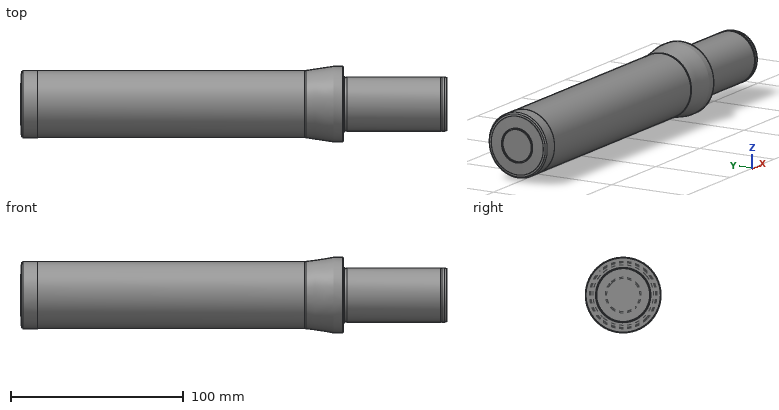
import cadquery as cq

total_length = 247.0
sleeve_length = 187.7

barrel_radius = 39.0 / 2
collar_radius = 44.0 / 2
flare_groove_start = 164.5
flare_groove_depth = 0.12
flare_start = 165.2
collar_start = 181.5
collar_end = 187.0
collar_chamfer = 0.5
lip_radius = 32.0 / 2

pad_radius = 9.6
pad_groove_radius = 10.4
pad_groove_depth = 0.5
face_step_radius = 17.5
face_cone_depth = 0.37
face_step_depth = 0.12
rim_radius = 18.8
rim_depth = 0.62
rim_chamfer_end = 1.5

band_end = 10.0
band_height = 0.07

rod_radius = 31.5 / 2
rod_chamfer_length = 1.5
rod_chamfer_height = 0.5
tip_groove_start = 243.3
tip_groove_width = 0.7
tip_groove_depth = 0.2


def revolve_about_x(outline):
    """Turn an open outline of (x, radius) points into a solid of revolution."""
    return outline.close().revolve(360, (0, 0, 0), (1, 0, 0))


def ring(start, width, inner_radius, outer_radius):
    """Ring around the X axis, used to cut grooves."""
    return (
        cq.Workplane("YZ", origin=(start, 0, 0))
        .circle(outer_radius)
        .circle(inner_radius)
        .extrude(width)
    )


def make_sleeve():
    """Cylinder with a chamfered left end, and a flared collar with a lip at the right end."""
    outline = (
        cq.Workplane("XY")
        .lineTo(0, pad_radius)
        .lineTo(pad_groove_depth, pad_radius)
        .lineTo(pad_groove_depth, pad_groove_radius)
        .lineTo(0, pad_groove_radius)
        .lineTo(face_cone_depth, face_step_radius)
        .lineTo(face_cone_depth + face_step_depth, face_step_radius)
        .lineTo(rim_depth, rim_radius)
        .lineTo(rim_chamfer_end, barrel_radius + band_height)
        .lineTo(band_end, barrel_radius + band_height)
        .lineTo(band_end, barrel_radius)
        .lineTo(flare_start, barrel_radius)
        .lineTo(collar_start, collar_radius)
        .lineTo(collar_end - collar_chamfer, collar_radius)
        .lineTo(collar_end, collar_radius - collar_chamfer)
        .lineTo(collar_end, lip_radius)
        .lineTo(sleeve_length, lip_radius)
        .lineTo(sleeve_length, 0)
    )
    flare_groove = ring(
        flare_groove_start,
        flare_start - flare_groove_start,
        barrel_radius - flare_groove_depth,
        collar_radius,
    )
    return revolve_about_x(outline).cut(flare_groove)


def make_rod():
    """Rod with a chamfer at both ends and a shallow groove near its tip."""
    chamfered_radius = rod_radius - rod_chamfer_height
    outline = (
        cq.Workplane("XY")
        .moveTo(sleeve_length, 0)
        .lineTo(sleeve_length, chamfered_radius)
        .lineTo(sleeve_length + rod_chamfer_length, rod_radius)
        .lineTo(total_length - rod_chamfer_length, rod_radius)
        .lineTo(total_length, chamfered_radius)
        .lineTo(total_length, 0)
    )
    tip_groove = ring(
        tip_groove_start, tip_groove_width, rod_radius - tip_groove_depth, collar_radius
    )
    return revolve_about_x(outline).cut(tip_groove)


sleeve = make_sleeve()
rod = make_rod()
result = cq.Compound.makeCompound([sleeve.val(), rod.val()])